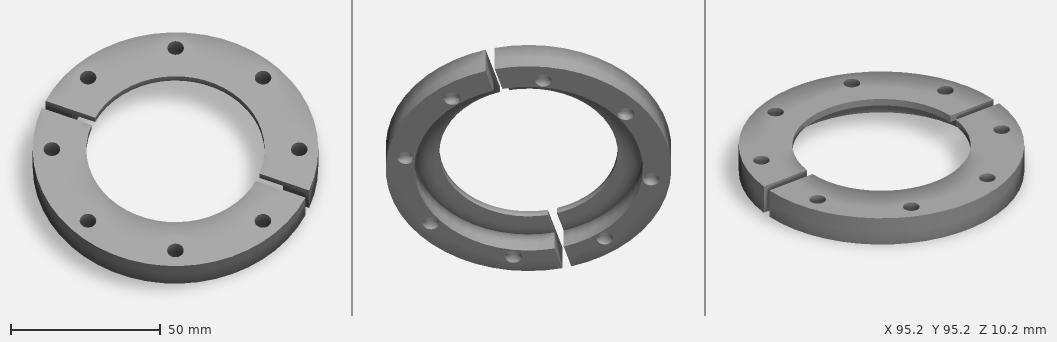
import cadquery as cq

outer_diameter = 95.25
bore_diameter = 59.4
thickness = 10.2
gap = 3.1

recess_diameter = 76.2
lip_thickness = 2.5
recess_depth = thickness - lip_thickness

hole_count = 8
hole_diameter = 5.5
hole_circle_diameter = 82.5


def make_ring():
    """Full flange ring on the XY plane, with its underside recess and through bolt holes."""
    ring = (
        cq.Workplane("XY")
        .circle(outer_diameter / 2)
        .circle(bore_diameter / 2)
        .extrude(thickness)
    )
    recess = cq.Workplane("XY").circle(recess_diameter / 2).extrude(recess_depth)
    hole_pitch = 360 / hole_count
    holes = (
        cq.Workplane("XY")
        .polarArray(hole_circle_diameter / 2, hole_pitch / 2, 360, hole_count)
        .circle(hole_diameter / 2)
        .extrude(thickness)
    )
    return ring.cut(recess).cut(holes)


def make_half_ring(side):
    """Half ring on the +Y (side = 1) or -Y (side = -1) side of the gap."""
    keep_depth = outer_diameter / 2
    keep_block = (
        cq.Workplane("XY")
        .center(0, side * (gap + keep_depth) / 2)
        .rect(outer_diameter * 2, keep_depth)
        .extrude(thickness)
    )
    return make_ring().intersect(keep_block)


half_rings = [make_half_ring(side) for side in (1, -1)]

result = cq.Compound.makeCompound([half_ring.val() for half_ring in half_rings])